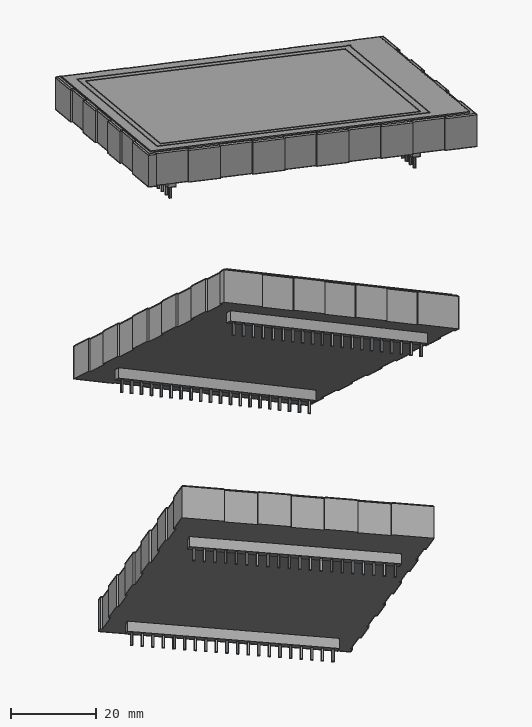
import cadquery as cq


BODY_WIDTH = 60.5
BODY_LENGTH = 82.0
BODY_HEIGHT = 8.1
RIM_CHAMFER = 0.3

NOTCH_LENGTH = 8.0
NOTCH_PITCH = 2 * NOTCH_LENGTH
NOTCH_DEPTH = 0.5
SIDE_NOTCH_COUNT = 5
END_NOTCH_COUNT = 3
SIDE_NOTCH_START_Y = -39.0
FRONT_NOTCH_START_X = -20.25
BACK_NOTCH_START_X = -20.0

PLATE_WIDTH = 58.0
PLATE_FRONT_Y = -40.0
PLATE_BACK_Y = 39.6
PLATE_THICKNESS = 0.3

SCREEN_STEP = 0.1
BEZEL_WIDTH = 52.0
BEZEL_LENGTH = 68.0
BEZEL_CENTER = (0.25, -3.3)
CORNER_RELIEF_RADIUS = 0.35
ACTIVE_WIDTH = 48.6
ACTIVE_LENGTH = 64.8
ACTIVE_CENTER = (0.2, -3.4)

PIN_PITCH = 2.54
PIN_COUNT = 20
PIN_SIZE = 0.5
PIN_LENGTH = 3.0
HEADER_WIDTH = 2.0
HEADER_HEIGHT = 2.5
HEADER_LENGTH = PIN_COUNT * PIN_PITCH
HEADER_SPACING_PITCHES = 24
HEADER_SPACING = HEADER_SPACING_PITCHES * PIN_PITCH
HEADER_MID_Y = -2.8

PLATE_TOP_Z = BODY_HEIGHT + PLATE_THICKNESS


def block(center, size, bottom_z, height):
    """Upright box with its footprint centred on `center`."""
    base = cq.Workplane("XY", origin=(center[0], center[1], bottom_z))
    return base.box(size[0], size[1], height, centered=(True, True, False))


def notch_centers(start, count):
    """Positions along an edge of the middles of its notches."""
    return [start + NOTCH_LENGTH / 2 + i * NOTCH_PITCH for i in range(count)]


def make_body():
    body = block((0, 0), (BODY_WIDTH, BODY_LENGTH), 0, BODY_HEIGHT)
    side_size = (2 * NOTCH_DEPTH, NOTCH_LENGTH)
    for y in notch_centers(SIDE_NOTCH_START_Y, SIDE_NOTCH_COUNT):
        for x in (-BODY_WIDTH / 2, BODY_WIDTH / 2):
            body = body.cut(block((x, y), side_size, 0, BODY_HEIGHT))
    end_size = (NOTCH_LENGTH, 2 * NOTCH_DEPTH)
    ends = ((-BODY_LENGTH / 2, FRONT_NOTCH_START_X), (BODY_LENGTH / 2, BACK_NOTCH_START_X))
    for y, start_x in ends:
        for x in notch_centers(start_x, END_NOTCH_COUNT):
            body = body.cut(block((x, y), end_size, 0, BODY_HEIGHT))
    return body.faces(">Z").chamfer(RIM_CHAMFER)


def make_plate():
    center = (0, (PLATE_FRONT_Y + PLATE_BACK_Y) / 2)
    size = (PLATE_WIDTH, PLATE_BACK_Y - PLATE_FRONT_Y)
    return block(center, size, BODY_HEIGHT, PLATE_THICKNESS)


def make_screen_recess():
    bezel_z = PLATE_TOP_Z - SCREEN_STEP
    active_z = bezel_z - SCREEN_STEP
    bezel = block(BEZEL_CENTER, (BEZEL_WIDTH, BEZEL_LENGTH), bezel_z, SCREEN_STEP)
    active = block(ACTIVE_CENTER, (ACTIVE_WIDTH, ACTIVE_LENGTH), active_z, 2 * SCREEN_STEP)
    corner_x = BEZEL_CENTER[0] - BEZEL_WIDTH / 2
    corner_y = BEZEL_CENTER[1] + BEZEL_LENGTH / 2
    corner = cq.Workplane("XY", origin=(corner_x, corner_y, bezel_z))
    relief = corner.circle(CORNER_RELIEF_RADIUS).extrude(SCREEN_STEP)
    return bezel.union(relief).union(active)


def make_header(y):
    header = block((0, y), (HEADER_LENGTH, HEADER_WIDTH), -HEADER_HEIGHT, HEADER_HEIGHT)
    pin_z = -HEADER_HEIGHT - PIN_LENGTH
    for i in range(PIN_COUNT):
        x = (i - (PIN_COUNT - 1) / 2) * PIN_PITCH
        header = header.union(block((x, y), (PIN_SIZE, PIN_SIZE), pin_z, PIN_LENGTH))
    return header


result = make_body().union(make_plate()).cut(make_screen_recess())
for side in (-1, 1):
    result = result.union(make_header(HEADER_MID_Y + side * HEADER_SPACING / 2))